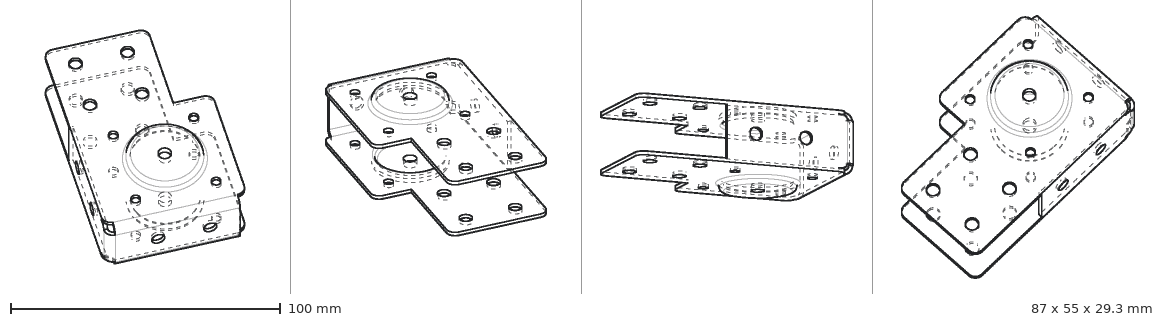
import cadquery as cq
sheet = 1.5
bend_outer = 3.5
bend_inner = bend_outer - sheet
length = 87.0
depth = 55.0
body_height = 23.3
corner_radius = 3.5

plate_length = length - bend_outer
arm_depth = 40.0
head_start = 35.9

front_wall_start = 35.4
side_wall_end = depth - bend_outer

bolt_dia = 5.0
bolt_pitch = 20.0
arm_bolt_x = 8.5
arm_bolt_y = 10.0
front_bolt_x = 47.0
side_bolt_y = bolt_pitch
screw_dia = 3.6
screw_spacing = 31.0

dome_x = 59.9
dome_y = arm_bolt_y + bolt_pitch
dome_height = 3.0
dome_flat_radius = 12.8
crown_radius = 1.65
foot_radius = dome_height - crown_radius

cavity_depth = 1.9
cavity_fillet = cavity_depth / 2
cavity_mouth_radius = 14.1
cavity_flat_radius = cavity_mouth_radius - 2 * cavity_fillet

mid_height = body_height / 2


def box(x0, x1, y0, y1, z0, z1):
    """Box between two opposite corners."""
    return cq.Workplane("XY", origin=(x0, y0, z0)).box(x1 - x0, y1 - y0, z1 - z0, centered=False)


def flat_plate():
    """L-shaped plate with every outer corner rounded, lying on z = 0."""
    arm = box(0, head_start, 0, arm_depth, 0, sheet).edges("|Z and <X").fillet(corner_radius)
    head = box(head_start, plate_length, 0, depth, 0, sheet)
    head = head.edges("|Z and (>X or >Y)").fillet(corner_radius)
    return arm.union(head)


def dome_profile(flat_radius, crown, foot, base):
    """Solid dome rising from base: flat top, convex crown, concave foot."""
    diagonal = 0.5 ** 0.5
    top = base + crown + foot
    neck = flat_radius + crown
    return (
        cq.Workplane("XZ")
        .moveTo(0, base)
        .lineTo(0, top)
        .lineTo(flat_radius, top)
        .threePointArc(
            (flat_radius + crown * diagonal, top - crown * (1 - diagonal)),
            (neck, top - crown),
        )
        .threePointArc(
            (neck + foot * (1 - diagonal), base + foot * (1 - diagonal)),
            (neck + foot, base),
        )
        .close()
        .revolve(360, (0, 0, 0), (0, 1, 0))
        .translate((dome_x, dome_y, 0))
    )


def domed_plate():
    """Upper plate with a dome pressed outward and hollow underneath."""
    top = body_height
    plate = flat_plate().translate((0, 0, top - sheet))
    outside = dome_profile(dome_flat_radius, crown_radius, foot_radius, top)
    cavity = dome_profile(cavity_flat_radius, cavity_fillet, cavity_fillet, top - sheet)
    return plate.union(outside).cut(cavity)


def front_wall():
    """Flat wall between the plates, its two free corners rounded beside the bends."""
    wall = box(front_wall_start, plate_length, 0, sheet, sheet, body_height - sheet)
    return wall.edges("|Y and >X").fillet(bend_inner)


def side_wall():
    """Right wall with a bend along its top and bottom, lapping a strip of both plates."""
    lap_start = plate_length - bend_outer
    outer = box(lap_start, length, bend_outer, side_wall_end, 0, body_height)
    inner = box(
        lap_start, length - sheet, bend_outer, side_wall_end, sheet, body_height - sheet
    )
    outer = outer.edges("|Y and >X").fillet(bend_outer)
    inner = inner.edges("|Y and >X").fillet(bend_inner)
    return outer.cut(inner)


def front_bend():
    """Upright quarter bend joining the front wall to the right wall."""
    low = bend_outer
    high = body_height - bend_outer
    ring = (
        cq.Workplane("XY", origin=(plate_length, bend_outer, low))
        .circle(bend_outer)
        .circle(bend_inner)
        .extrude(high - low)
    )
    return ring.intersect(box(plate_length, length, 0, bend_outer, low, high))


def drill_z(part, points, diameter):
    """Holes through both plates."""
    tool_height = body_height + 2 * dome_height
    tools = (
        cq.Workplane("XY", origin=(0, 0, -dome_height))
        .pushPoints(points)
        .circle(diameter / 2)
        .extrude(tool_height)
    )
    return part.cut(tools)


upper = domed_plate()
lower = upper.mirror("XY", (0, 0, mid_height))
result = upper.union(lower).union(front_wall()).union(side_wall()).union(front_bend())

arm_points = [
    (arm_bolt_x + column * bolt_pitch, arm_bolt_y + row * bolt_pitch)
    for column in range(2)
    for row in range(2)
]
screw_points = [
    (dome_x + sx * screw_spacing / 2, dome_y + sy * screw_spacing / 2)
    for sx in (-1, 1)
    for sy in (-1, 1)
]
result = drill_z(result, arm_points + [(dome_x, dome_y)], bolt_dia)
result = drill_z(result, screw_points, screw_dia)

for i in range(2):
    front_hole = cq.Solid.makeCylinder(
        bolt_dia / 2, sheet, cq.Vector(front_bolt_x + i * bolt_pitch, 0, mid_height), cq.Vector(0, 1, 0)
    )
    side_hole = cq.Solid.makeCylinder(
        bolt_dia / 2,
        sheet,
        cq.Vector(length - sheet, side_bolt_y + i * bolt_pitch, mid_height),
        cq.Vector(1, 0, 0),
    )
    result = result.cut(cq.Workplane(front_hole)).cut(cq.Workplane(side_hole))